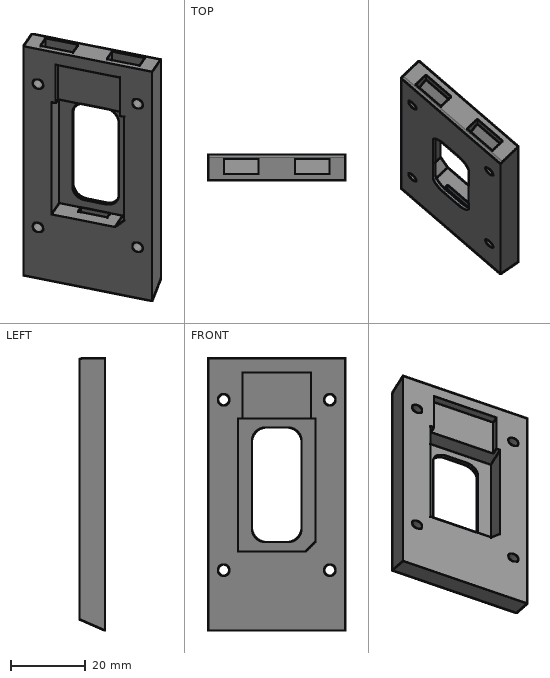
import cadquery as cq
import math

width = 37.0
thickness = 7.0
height = 73.42
bottom_rise = 3.05
top_bevel_depth = 0.8
top_bevel_drop = 0.25

pocket_width = 20.8
pocket_depth = 6.0
pocket_top = height - 16.2
pocket_bottom = height - 52.05
pocket_corner_cut = 2.6
window_width = 13.3
window_top = height - 18.7
window_bottom = height - 49.5
window_radius = 3.75

recess_width = 18.5
recess_depth = 2.0
recess_top = height - 3.9

hole_diameter = 3.0
hole_spacing_x = 28.6
hole_top = height - 11.2
hole_bottom = height - 57.1

slot_width = 9.4
slot_thickness = 4.0
slot_front = 1.75
slot_spacing = 19.1
slot_depth = 3.0
slot_floor_angle = 27.0

lower_slot_width = 8.4
lower_slot_thickness = 2.3
lower_slot_front = 3.8
lower_slot_depth = 3.0


def block(x_size, y_front, y_size, z_bottom, z_top):
    """Box centred on X = 0, starting at y_front and spanning z_bottom to z_top."""
    return (
        cq.Workplane("XY")
        .box(x_size, y_size, z_top - z_bottom, centered=(True, False, False))
        .translate((0, y_front, z_bottom))
    )


def plate():
    """Side profile with a sloping bottom, extruded across the width."""
    profile = [
        (0, 0),
        (thickness, bottom_rise),
        (thickness, height - top_bevel_drop),
        (thickness - top_bevel_depth, height),
        (0, height),
    ]
    return cq.Workplane("YZ").polyline(profile).close().extrude(width / 2, both=True)


def pocket():
    """Front pocket with one lower corner cut off."""
    body = block(pocket_width, 0, pocket_depth, pocket_bottom, pocket_top)
    return body.edges("|Y and >X and <Z").chamfer(pocket_corner_cut)


def window():
    """Rounded opening through the pocket floor."""
    body = block(window_width, 0, thickness, window_bottom, window_top)
    return body.edges("|Y").fillet(window_radius)


def recess():
    """Shallow step that opens into the top of the pocket."""
    return block(recess_width, 0, recess_depth, pocket_top, recess_top)


def screw_holes():
    """Four through holes near the side edges."""
    points = [(x * hole_spacing_x / 2, z) for x in (-1, 1) for z in (hole_bottom, hole_top)]
    return cq.Workplane("XZ").pushPoints(points).circle(hole_diameter / 2).extrude(-thickness)


def top_slot(x_center):
    """Blind slot from the top face with a sloping floor."""
    back = slot_front + slot_thickness
    floor = height - slot_depth
    profile = [
        (slot_front, floor),
        (back, floor - slot_thickness * math.tan(math.radians(slot_floor_angle))),
        (back, height),
        (slot_front, height),
    ]
    body = cq.Workplane("YZ").polyline(profile).close().extrude(slot_width / 2, both=True)
    return body.translate((x_center, 0, 0))


def lower_slot():
    """Blind slot going down from the lower wall of the pocket."""
    return block(lower_slot_width, lower_slot_front, lower_slot_thickness,
                 pocket_bottom - lower_slot_depth, pocket_bottom)


result = plate().cut(pocket()).cut(window()).cut(recess()).cut(screw_holes()).cut(lower_slot())
for side in (-1, 1):
    result = result.cut(top_slot(side * slot_spacing / 2))